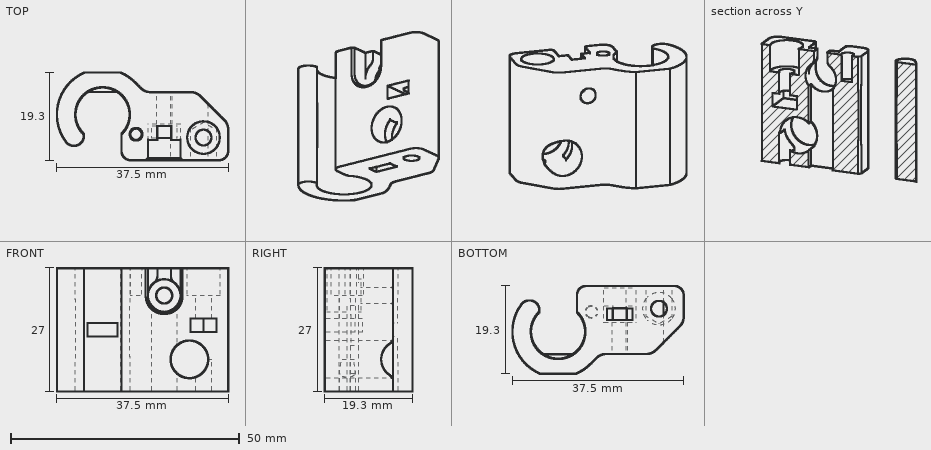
import cadquery as cq
import math

LENGTH = 37.5
HEIGHT = 27.0
BACK_Y = 19.25
BODY_BACK_Y = 14.92
BODY_LEFT_X = 14.1
FRONT_CORNER_R = 2.1
BACK_CORNER_R = 3.0
BACK_CHAMFER = 6.98

CLIP_R = 10.0
CLIP_X = CLIP_R
CLIP_Y = 10.0
BORE_R = 6.0
BORE_WAIST_R = 5.9
TAPER_HEIGHT = 6.0
BAND_HEIGHT = HEIGHT - 4 * TAPER_HEIGHT
TIP_R = 2.2
TIP_ANGLE = math.radians(216.6)

SCREW_R = 1.72
HEAD_R = 3.55

POCKET_X = 23.48
POCKET_Z = 21.0
POCKET_DEPTH = 8.0
ENTRY_DEPTH = 4.45
SLOT_WIDTH = 3.0
SLOT_BACK_Y = 7.45
LOWER_SLOT_WIDTH = 5.62
SLOT_FRONT_Y = 4.9
SLOT_FLARE_R = 1.6
MOUTH_CHAMFER = 0.5

VERTICAL_X = 32.05
VERTICAL_Y = 5.0
HEAD_DEPTH = 6.0
NUT_WIDTH = 5.7
NUT_BOTTOM_Z = 12.98
NUT_HEIGHT = 3.0

CROSS_X = 29.0
CROSS_Z = 7.05
CROSS_R = 4.1
PIN_X = 17.32
PIN_Y = 5.7
PIN_R = 1.25
PIN_MOUTH_R = 1.4
PIN_MOUTH_DEPTH = 0.5
PIN_DEPTH = 6.0


def box(x0, x1, y0, y1, z0, z1):
    return cq.Workplane("XY").box(x1 - x0, y1 - y0, z1 - z0, centered=False).translate((x0, y0, z0))


def hole_y(x, z, radius, depth):
    """Cylinder running from the front face toward +Y."""
    return cq.Workplane("XZ").center(x, z).circle(radius).extrude(-depth)


def hole_z(x, y, radius, bottom, top):
    return cq.Workplane("XY", origin=(x, y, bottom)).circle(radius).extrude(top - bottom)


def clip_point(angle, radius=CLIP_R):
    return CLIP_X + radius * math.cos(angle), CLIP_Y + radius * math.sin(angle)


def clip():
    """C-shaped ring sector with a rounded tip, cut flat at the back."""
    start = clip_point(math.radians(45))
    middle = clip_point(math.radians(135))
    end = clip_point(TIP_ANGLE)
    sector = (
        cq.Workplane("XY")
        .moveTo(CLIP_X, CLIP_Y)
        .lineTo(*start)
        .threePointArc(middle, end)
        .close()
        .extrude(HEIGHT)
    )
    tip = hole_z(*clip_point(TIP_ANGLE, CLIP_R - TIP_R), TIP_R, 0, HEIGHT)
    return sector.union(tip).intersect(box(0, LENGTH, 0, BACK_Y, 0, HEIGHT))


def screw_block():
    """Block whose back slope leaves the clip tangentially at 45 degrees."""
    tangent = clip_point(math.radians(45))
    foot_x = tangent[0] + tangent[1] - BODY_BACK_Y
    block = (
        cq.Workplane("XY")
        .polyline([
            (BODY_LEFT_X, 0),
            (LENGTH, 0),
            (LENGTH, BODY_BACK_Y - BACK_CHAMFER),
            (LENGTH - BACK_CHAMFER, BODY_BACK_Y),
            (foot_x, BODY_BACK_Y),
            tangent,
            (CLIP_X, CLIP_Y),
            (BODY_LEFT_X, CLIP_Y),
        ])
        .close()
        .extrude(HEIGHT)
    )
    block = block.faces("<Y").edges("|Z").fillet(FRONT_CORNER_R)
    back_corners = block.edges(cq.selectors.NearestToPointSelector((foot_x, BODY_BACK_Y, HEIGHT / 2)))
    for corner in [(LENGTH - BACK_CHAMFER, BODY_BACK_Y), (LENGTH, BODY_BACK_Y - BACK_CHAMFER)]:
        nearest = cq.selectors.NearestToPointSelector((*corner, HEIGHT / 2))
        back_corners = back_corners.add(block.edges(nearest))
    return back_corners.fillet(BACK_CORNER_R)


def clip_bore():
    """Bore narrowing to a waist, leaving a flat pad on its back wall."""
    low = TAPER_HEIGHT
    band_low = 2 * TAPER_HEIGHT
    band_high = band_low + BAND_HEIGHT
    bore = (
        cq.Workplane("XZ")
        .polyline([
            (0, 0),
            (BORE_R, 0),
            (BORE_R, low),
            (BORE_WAIST_R, band_low),
            (BORE_WAIST_R, band_high),
            (BORE_R, HEIGHT - low),
            (BORE_R, HEIGHT),
            (0, HEIGHT),
        ])
        .close()
        .revolve(360, (0, 0, 0), (0, 1, 0))
        .translate((CLIP_X, CLIP_Y, 0))
    )
    pad = box(CLIP_X - BORE_R, CLIP_X + BORE_R, BODY_BACK_Y, BACK_Y, band_low, band_high)
    return bore.cut(pad)


def flared_slot():
    """Narrow top slot that widens in tangent arcs onto the head pocket."""
    half = SLOT_WIDTH / 2
    arc_x = half + SLOT_FLARE_R
    reach = HEAD_R + SLOT_FLARE_R
    arc_z = math.sqrt(reach**2 - arc_x**2)
    join_x = arc_x * HEAD_R / reach
    join_z = arc_z * HEAD_R / reach
    middle_angle = math.pi + math.atan2(arc_z, arc_x) / 2
    middle_x = arc_x + SLOT_FLARE_R * math.cos(middle_angle)
    middle_z = arc_z + SLOT_FLARE_R * math.sin(middle_angle)
    top = HEIGHT - POCKET_Z
    return (
        cq.Workplane("XZ", origin=(POCKET_X, 0, POCKET_Z))
        .moveTo(-half, top)
        .lineTo(half, top)
        .lineTo(half, arc_z)
        .threePointArc((middle_x, middle_z), (join_x, join_z))
        .lineTo(0, 0)
        .lineTo(-join_x, join_z)
        .threePointArc((-middle_x, middle_z), (-half, arc_z))
        .close()
        .extrude(-SLOT_BACK_Y)
    )


def horizontal_screw():
    half = LOWER_SLOT_WIDTH / 2
    mouth_r = HEAD_R + MOUTH_CHAMFER
    cut = hole_y(POCKET_X, POCKET_Z, SCREW_R, BACK_Y)
    cut = cut.union(hole_y(POCKET_X, POCKET_Z, HEAD_R, POCKET_DEPTH))
    cut = cut.union(box(POCKET_X - HEAD_R, POCKET_X + HEAD_R, 0, ENTRY_DEPTH, POCKET_Z, HEIGHT))
    cut = cut.union(flared_slot())
    cut = cut.union(box(POCKET_X - half, POCKET_X + half, SLOT_FRONT_Y, SLOT_BACK_Y, 0, POCKET_Z))
    mouth_cone = cq.Workplane(cq.Solid.makeCone(
        mouth_r, HEAD_R, MOUTH_CHAMFER, cq.Vector(POCKET_X, 0, POCKET_Z), cq.Vector(0, 1, 0)
    ))
    mouth_entry = (
        cq.Workplane("XY", origin=(POCKET_X, 0, POCKET_Z))
        .polyline([(-mouth_r, 0), (mouth_r, 0), (HEAD_R, MOUTH_CHAMFER), (-HEAD_R, MOUTH_CHAMFER)])
        .close()
        .extrude(HEIGHT - POCKET_Z)
    )
    return cut.union(mouth_cone).union(mouth_entry)


def vertical_screw():
    """Counterbored hole down to a hexagonal nut slot, and a hole below the cross hole."""
    cut = hole_z(VERTICAL_X, VERTICAL_Y, HEAD_R, HEIGHT - HEAD_DEPTH, HEIGHT)
    cut = cut.union(hole_z(VERTICAL_X, VERTICAL_Y, SCREW_R, NUT_BOTTOM_Z, HEIGHT))
    cut = cut.union(hole_z(VERTICAL_X, VERTICAL_Y, SCREW_R, 0, CROSS_Z))
    half = NUT_WIDTH / 2
    nut = (
        cq.Workplane("XY", origin=(VERTICAL_X, 0, NUT_BOTTOM_Z))
        .polyline([
            (-half, 0),
            (half, 0),
            (half, VERTICAL_Y + half * math.tan(math.radians(30))),
            (0, VERTICAL_Y + half / math.cos(math.radians(30))),
            (-half, VERTICAL_Y + half * math.tan(math.radians(30))),
        ])
        .close()
        .extrude(NUT_HEIGHT)
    )
    return cut.union(nut)


def pin_hole():
    hole = hole_z(PIN_X, PIN_Y, PIN_R, HEIGHT - PIN_DEPTH, HEIGHT)
    mouth_base = cq.Vector(PIN_X, PIN_Y, HEIGHT - PIN_MOUTH_DEPTH)
    mouth = cq.Workplane(cq.Solid.makeCone(
        PIN_R, PIN_MOUTH_R, PIN_MOUTH_DEPTH, mouth_base, cq.Vector(0, 0, 1)
    ))
    return hole.union(mouth)


result = (
    clip()
    .union(screw_block())
    .cut(clip_bore())
    .cut(horizontal_screw())
    .cut(vertical_screw())
    .cut(hole_y(CROSS_X, CROSS_Z, CROSS_R, BACK_Y))
    .cut(pin_hole())
)